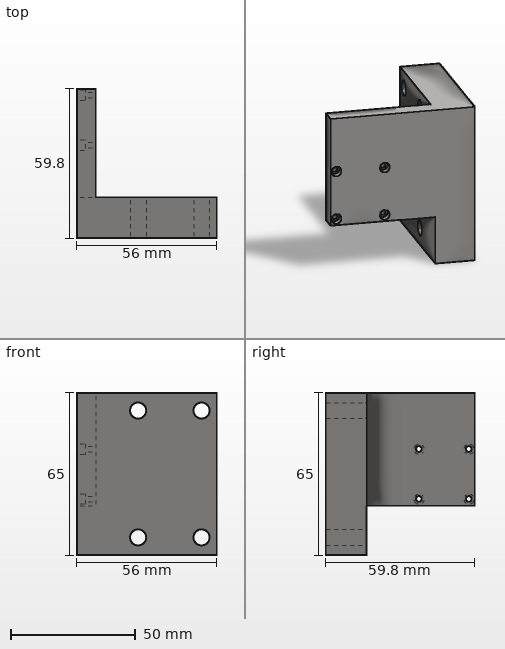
import cadquery as cq

width = 56.0
depth = 59.8
height = 65.0

plate_thickness = 16.4
arm_thickness = 7.55
arm_bottom = 19.75

plate_hole_diameter = 6.4
plate_hole_spacing_x = 25.4
plate_hole_spacing_z = 50.8
plate_hole_side_margin = 6.1

arm_hole_diameter = 2.2
arm_counterbore_diameter = 4.0
arm_counterbore_depth = 3.25
arm_hole_spacing = 20.0
arm_hole_end_margin = 2.5
arm_hole_bottom_margin = 2.7


def make_body():
    """Upright plate with a shorter arm running back along its -X side."""
    plate = cq.Workplane("XY").box(width, plate_thickness, height, centered=False)
    arm = (
        cq.Workplane("XY")
        .box(arm_thickness, depth, height - arm_bottom, centered=False)
        .translate((0, 0, arm_bottom))
    )
    return plate.union(arm)


def cut_plate_holes(body):
    """Four plain holes through the plate, vertically centred."""
    center_x = width - plate_hole_side_margin - plate_hole_spacing_x / 2
    cutters = (
        cq.Workplane("XZ", origin=(center_x, 0, height / 2))
        .rarray(plate_hole_spacing_x, plate_hole_spacing_z, 2, 2)
        .circle(plate_hole_diameter / 2)
        .extrude(-plate_thickness)
    )
    return body.cut(cutters)


def cut_arm_holes(body):
    """Square pattern of holes through the arm, counterbored from the -X face."""
    center_y = depth - arm_hole_end_margin - arm_hole_spacing / 2
    center_z = arm_bottom + arm_hole_bottom_margin + arm_hole_spacing / 2
    pattern = cq.Workplane("YZ", origin=(0, center_y, center_z)).rarray(
        arm_hole_spacing, arm_hole_spacing, 2, 2
    )
    holes = pattern.circle(arm_hole_diameter / 2).extrude(arm_thickness)
    counterbores = pattern.circle(arm_counterbore_diameter / 2).extrude(arm_counterbore_depth)
    return body.cut(holes).cut(counterbores)


result = cut_arm_holes(cut_plate_holes(make_body()))